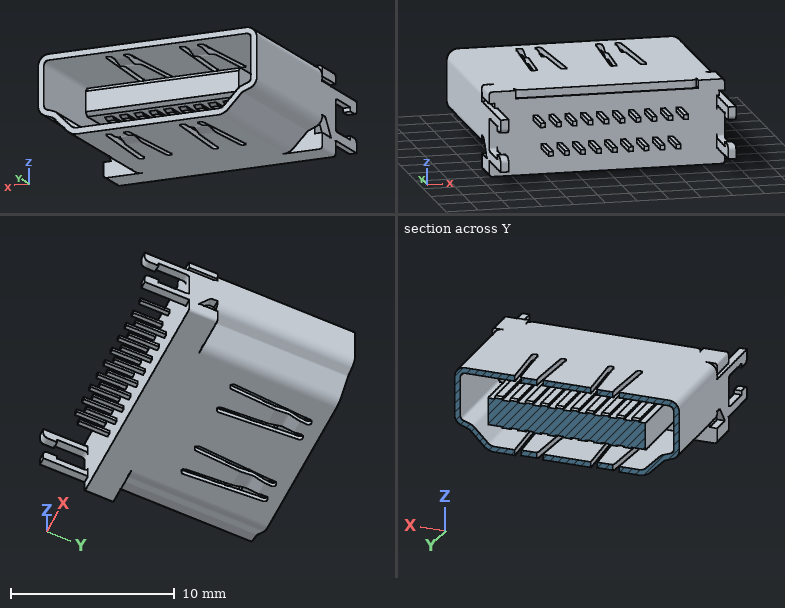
import cadquery as cq
import math


width = 14.8
height = 5.35
depth = 11.23
half_width = width / 2
half_height = height / 2
shell_thickness = 0.4
leg_thickness = 0.5

block_depth = 1.92
block_radius = 0.19

shell_top_radius = 0.71
side_bottom_z = -1.07
side_bottom_radius = 0.68
step_half_width = 6.42
step_z = -1.42
step_radius = 0.22
floor_half_width = 5.18
floor_radius = 0.98

flap_thickness = 0.5
flap_width = 11.45
flap_setback = 0.12
flap_corner_radius = 0.41

leg_length = 3.02
leg_outer_z = 1.65
leg_neck_z = 1.04
leg_hook_z = 0.77
leg_hook_start = 2.09
leg_tip_radius = 0.33
leg_root_radius = 0.22

groove_depth = 0.35
groove_top_z = 1.94
groove_ramp_z = 1.82
groove_ramp_length = 0.3
relief_top_z = -0.52
relief_top_length = 0.45
relief_corner_radius = 0.3
relief_tip_y = 0.67

pin_size = 0.28
pin_row_z = 0.9
pin_row_span = 9.0
upper_pin_count = 10
pin_pitch = pin_row_span / (upper_pin_count - 1)
upper_pin_length = 1.98
lower_pin_length = 2.05

tongue_width = 10.36
tongue_thickness = 2 * pin_row_z
tongue_tip_y = 9.15
tongue_bevel = 0.25
contact_width = 0.5
contact_tip_y = 8.35
contact_bevel_length = 0.37
contact_rise = pin_size / 2

finger_x = 2.5
slot_width = 0.38
slot_root_x = 0.93
slot_root_y = 4.88
slot_end_x = 0.6
slot_end_y = 10.14
dent_half_width = 0.68
dent_start_y = 7.9
dent_bend_y = 8.08
dent_bend_drop = 0.03
dent_floor_start_y = 8.78
dent_floor_end_y = 8.9
dent_end_y = 9.63
dent_drop = 0.19


def block(x0, x1, y0, y1, z0, z1):
    return cq.Workplane("XY").box(x1 - x0, y1 - y0, z1 - z0, centered=False).translate((x0, y0, z0))


def extrude_along_x(outline, x0, x1):
    """Extrude a closed (Y, Z) polygon from x0 to x1."""
    return cq.Workplane("YZ", origin=(x0, 0, 0)).polyline(outline).close().extrude(x1 - x0)


def mirror_z(body):
    return body.mirror("XY")


def both_sides(body):
    return body.union(body.mirror("YZ"))


def edges_at(body, x, z):
    """Select the two Y-parallel edges of a profile at (+x, z) and (-x, z)."""
    reach = 0.01
    boxes = [
        cq.selectors.BoxSelector((side - reach, 0, z - reach), (side + reach, depth, z + reach))
        for side in (x, -x)
    ]
    return body.edges(boxes[0] + boxes[1])


def make_shell():
    right_side = [
        (half_width, half_height),
        (half_width, side_bottom_z),
        (step_half_width, step_z),
        (floor_half_width, -half_height),
    ]
    left_side = [(-x, z) for x, z in reversed(right_side)]
    solid = (
        cq.Workplane("XZ", origin=(0, block_depth, 0))
        .polyline(right_side + left_side)
        .close()
        .extrude(block_depth - depth)
    )
    solid = edges_at(solid, half_width, half_height).fillet(shell_top_radius)
    solid = edges_at(solid, half_width, side_bottom_z).fillet(side_bottom_radius)
    solid = edges_at(solid, step_half_width, step_z).fillet(step_radius)
    solid = edges_at(solid, floor_half_width, -half_height).fillet(floor_radius)
    mouth = solid.faces(">Y").wires().toPending().offset2D(-shell_thickness)
    cavity = mouth.extrude(depth - block_depth, combine=False)
    return solid.cut(cavity)


def make_finger_slots(x):
    """The two slots that converge towards the mouth on either side of a roof finger."""
    run_x = slot_end_x - slot_root_x
    run_y = slot_end_y - slot_root_y
    length = math.hypot(run_x, run_y) + slot_width
    angle = math.degrees(math.atan2(run_y, run_x))
    cut_depth = shell_thickness + dent_drop
    slot = (
        cq.Workplane("XY", origin=(0, 0, half_height - cut_depth))
        .center((slot_root_x + slot_end_x) / 2, (slot_root_y + slot_end_y) / 2)
        .slot2D(length, slot_width, angle)
        .extrude(cut_depth)
    )
    return both_sides(slot).translate((x, 0, 0))


def make_finger_dent(x):
    """Stretch of the finger that is pressed inwards."""
    top_line = [
        (dent_start_y, half_height),
        (dent_bend_y, half_height - dent_bend_drop),
        (dent_floor_start_y, half_height - dent_drop),
        (dent_floor_end_y, half_height - dent_drop),
        (dent_end_y, half_height),
    ]
    bottom_line = [(y, z - shell_thickness) for y, z in reversed(top_line)]
    return extrude_along_x(top_line + bottom_line, x - dent_half_width, x + dent_half_width)


def add_fingers(shell):
    for x in (-finger_x, finger_x):
        gap = block(
            x - dent_half_width,
            x + dent_half_width,
            dent_start_y,
            dent_end_y,
            half_height - shell_thickness,
            half_height,
        )
        dent = make_finger_dent(x)
        slots = make_finger_slots(x)
        shell = shell.cut(gap).union(dent).cut(slots)
        shell = shell.cut(mirror_z(gap)).union(mirror_z(dent)).cut(mirror_z(slots))
    return shell


def make_block():
    body = block(-half_width, half_width, 0, block_depth, -half_height, half_height)
    body = body.edges("|Y").fillet(block_radius)

    flap_half = flap_width / 2
    seat = block(-flap_half, flap_half, 0, block_depth, half_height - flap_thickness, half_height)
    flap = block(-flap_half, flap_half, flap_setback, block_depth, half_height - flap_thickness, half_height)
    flap = flap.edges("|Z and <Y").fillet(flap_corner_radius)
    body = body.cut(seat.cut(flap))

    groove_x = half_width - groove_depth
    groove = block(groove_x, half_width, 0, block_depth, leg_outer_z, groove_top_z)
    body = body.cut(both_sides(groove))

    ramp = extrude_along_x(
        [
            (block_depth, leg_outer_z),
            (block_depth, groove_ramp_z),
            (block_depth - groove_ramp_length, leg_outer_z),
        ],
        groove_x,
        half_width,
    )
    body = body.union(ramp)

    relief = extrude_along_x(
        [
            (block_depth, relief_top_z),
            (block_depth - relief_top_length, relief_top_z),
            (relief_tip_y, -leg_outer_z),
            (block_depth, -leg_outer_z),
        ],
        half_width - leg_thickness,
        half_width,
    )
    relief = relief.edges("|X and >Z").edges("<Y").fillet(relief_corner_radius)
    return body.cut(both_sides(relief))


def make_upper_leg():
    """Upper leg on the +X side, with a hook on its inner edge and a fillet at its root."""
    arc = math.sqrt(0.5)
    tip_y = -leg_length
    root_centre_y = -leg_root_radius
    root_centre_z = leg_neck_z - leg_root_radius
    return (
        cq.Workplane("YZ", origin=(half_width - leg_thickness, 0, 0))
        .moveTo(0, leg_outer_z)
        .lineTo(tip_y, leg_outer_z)
        .lineTo(tip_y, leg_hook_z + leg_tip_radius)
        .threePointArc(
            (tip_y + leg_tip_radius * (1 - arc), leg_hook_z + leg_tip_radius * (1 - arc)),
            (tip_y + leg_tip_radius, leg_hook_z),
        )
        .lineTo(-leg_hook_start, leg_hook_z)
        .lineTo(-leg_hook_start, leg_neck_z)
        .lineTo(root_centre_y, leg_neck_z)
        .threePointArc(
            (root_centre_y + leg_root_radius * arc, root_centre_z + leg_root_radius * arc),
            (0, root_centre_z),
        )
        .close()
        .extrude(leg_thickness)
    )


def make_tongue():
    half_thickness = tongue_thickness / 2
    tip_half = half_thickness - tongue_bevel
    side = [
        (block_depth, half_thickness),
        (tongue_tip_y - tongue_bevel, half_thickness),
        (tongue_tip_y, tip_half),
        (tongue_tip_y, -tip_half),
        (tongue_tip_y - tongue_bevel, -half_thickness),
        (block_depth, -half_thickness),
    ]
    return extrude_along_x(side, -tongue_width / 2, tongue_width / 2)


def make_contact(x):
    """Upper contact strip, standing proud of the tongue and bevelled at its tip."""
    base_z = tongue_thickness / 2
    strip = [
        (block_depth, base_z),
        (block_depth, base_z + contact_rise),
        (contact_tip_y - contact_bevel_length, base_z + contact_rise),
        (contact_tip_y, base_z),
    ]
    return extrude_along_x(strip, x - contact_width / 2, x + contact_width / 2)


def make_pin(x, length):
    pin_half = pin_size / 2
    return block(x - pin_half, x + pin_half, -length, 0, pin_row_z - pin_half, pin_row_z + pin_half)


def row_positions(count):
    return [(i - (count - 1) / 2) * pin_pitch for i in range(count)]


result = add_fingers(make_shell()).union(make_block()).union(make_tongue())

for x in row_positions(upper_pin_count):
    result = result.union(make_contact(x)).union(make_pin(x, upper_pin_length))
for x in row_positions(upper_pin_count - 1):
    result = result.union(mirror_z(make_contact(x))).union(mirror_z(make_pin(x, lower_pin_length)))

upper_legs = both_sides(make_upper_leg())
result = result.union(upper_legs).union(mirror_z(upper_legs))